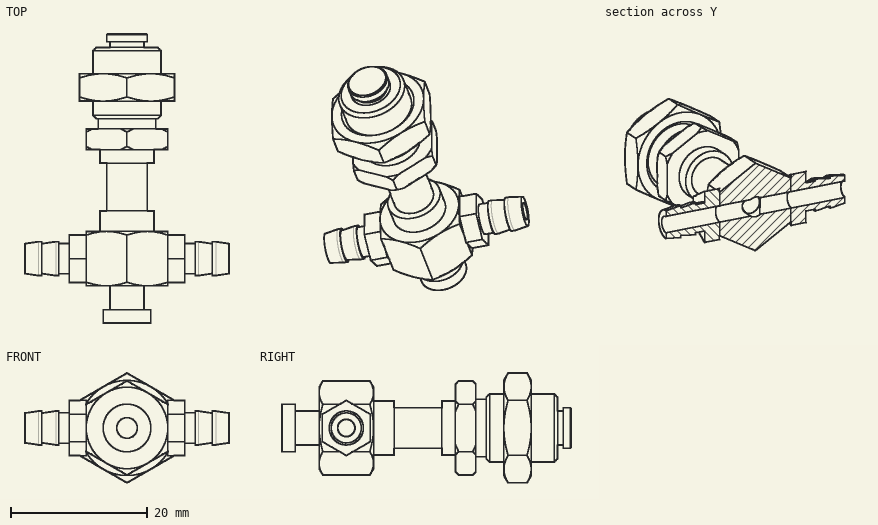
import cadquery as cq
import math

OVERALL_LENGTH = 42.5
OVERALL_WIDTH = 30.0

BLOCK_FLATS = 12.0
BLOCK_FRONT = 5.5
BLOCK_LENGTH = 8.0
BLOCK_REAR = BLOCK_FRONT + BLOCK_LENGTH
COLLAR_DIAMETER = 8.0
COLLAR_LENGTH = 3.0
COLLAR_REAR = BLOCK_REAR + COLLAR_LENGTH
NOZZLE_DIAMETER = 5.0
NOZZLE_FLANGE_DIAMETER = 7.0
NOZZLE_FLANGE_LENGTH = 2.0
NOZZLE_BORE_DIAMETER = 3.0
CROSS_AXIS_Y = BLOCK_FRONT + BLOCK_LENGTH / 2
CROSS_BORE_DIAMETER = 2.5
NOZZLE_BORE_DEPTH = CROSS_AXIS_Y + NOZZLE_BORE_DIAMETER / 2

FITTING_FLATS = 7.0
FITTING_HEX_LENGTH = 2.5
FITTING_LENGTH = (OVERALL_WIDTH - BLOCK_FLATS) / 2
BARB_RADIUS = 2.5
BARB_TIP_RADIUS = 2.2
SPIGOT_RADIUS = 2.25
BARB_CONE_LENGTH = 2.0
BARB_LAND_LENGTH = 0.5
BARB_COUNT = 2

SLEEVE_COLLAR_LENGTH = 2.0
SLEEVE_FRONT = 23.5
SLEEVE_REAR = 40.5
SLEEVE_HEX_FRONT = SLEEVE_FRONT + SLEEVE_COLLAR_LENGTH
SLEEVE_HEX_LENGTH = 3.0
SLEEVE_HEX_REAR = SLEEVE_HEX_FRONT + SLEEVE_HEX_LENGTH
SLEEVE_HEX_CHAMFER = 0.45
SLEEVE_HEX_CHAMFER_ANGLE = 45.0
SLEEVE_NECK_DIAMETER = 8.5
BARREL_FRONT = 30.0
BARREL_DIAMETER = 10.05
BARREL_CHAMFER = 0.5

NUT_FLATS = 14.0
NUT_FRONT = 32.6
NUT_LENGTH = 4.05
NUT_COUNTERSINK = 0.5

STEM_DIAMETER = 6.0
STEM_GROOVE_DIAMETER = 5.0
STEM_HEAD_LENGTH = 1.2
STEM_HEAD_CHAMFER = 0.15

HEX_CHAMFER_ANGLE = 30.0


def cylinder_y(diameter, start, end):
    """Round bar along Y from start to end."""
    return cq.Workplane("XZ", origin=(0, start, 0)).circle(diameter / 2).extrude(start - end)


def corner_radius(flats):
    return flats / math.sqrt(3)


def hex_y(flats, start, length, corner_cut, angle):
    """Hexagon along Y with flats at +X and -X, its corners turned down by a cone at both ends."""
    corner = corner_radius(flats)
    outline = [
        (corner * math.sin(math.radians(60 * i)), corner * math.cos(math.radians(60 * i)))
        for i in range(6)
    ]
    prism = cq.Workplane("XZ", origin=(0, start, 0)).polyline(outline).close().extrude(-length)
    face_radius = corner - corner_cut
    drop = corner_cut * math.tan(math.radians(angle))
    end = start + length
    envelope = (
        cq.Workplane("XY")
        .moveTo(0, start)
        .lineTo(face_radius, start)
        .lineTo(corner, start + drop)
        .lineTo(corner, end - drop)
        .lineTo(face_radius, end)
        .lineTo(0, end)
        .close()
        .revolve(360, (0, 0, 0), (0, 1, 0))
    )
    return prism.intersect(envelope)


def flat_tangent_cut(flats):
    """Corner cut that leaves an end face circle touching the flats."""
    return corner_radius(flats) - flats / 2


def make_block():
    block = hex_y(BLOCK_FLATS, BLOCK_FRONT, BLOCK_LENGTH, flat_tangent_cut(BLOCK_FLATS), HEX_CHAMFER_ANGLE)
    block = block.union(cylinder_y(COLLAR_DIAMETER, BLOCK_REAR, COLLAR_REAR))
    block = block.union(cylinder_y(NOZZLE_DIAMETER, 0, BLOCK_FRONT))
    block = block.union(cylinder_y(NOZZLE_FLANGE_DIAMETER, 0, NOZZLE_FLANGE_LENGTH))
    cross_bore = (
        cq.Workplane("YZ", origin=(-BLOCK_FLATS / 2, CROSS_AXIS_Y, 0))
        .circle(CROSS_BORE_DIAMETER / 2)
        .extrude(BLOCK_FLATS)
    )
    return block.cut(cylinder_y(NOZZLE_BORE_DIAMETER, 0, NOZZLE_BORE_DEPTH)).cut(cross_bore)


def make_fitting(side):
    """Hose fitting pointing along +X (side = 1) or -X (side = -1)."""
    base = BLOCK_FLATS / 2
    tip = base + FITTING_LENGTH
    hexagon = (
        cq.Workplane("YZ", origin=(base, 0, 0))
        .polygon(6, 2 * corner_radius(FITTING_FLATS))
        .extrude(FITTING_HEX_LENGTH)
        .rotate((0, 0, 0), (1, 0, 0), 90)
    )
    profile = cq.Workplane("XY").moveTo(base, 0).lineTo(tip, 0)
    barb_end = tip
    for _ in range(BARB_COUNT):
        profile = profile.lineTo(barb_end, BARB_TIP_RADIUS)
        profile = profile.lineTo(barb_end - BARB_CONE_LENGTH, BARB_RADIUS)
        barb_end -= BARB_CONE_LENGTH + BARB_LAND_LENGTH
        profile = profile.lineTo(barb_end, BARB_RADIUS)
    profile = profile.lineTo(barb_end, SPIGOT_RADIUS).lineTo(base, SPIGOT_RADIUS)
    spigot = profile.close().revolve(360, (0, 0, 0), (1, 0, 0))
    bore = cq.Workplane("YZ", origin=(base, 0, 0)).circle(CROSS_BORE_DIAMETER / 2).extrude(FITTING_LENGTH)
    fitting = hexagon.union(spigot).cut(bore)
    if side < 0:
        fitting = fitting.mirror("YZ")
    return fitting.translate((0, CROSS_AXIS_Y, 0))


def make_sleeve():
    barrel = cylinder_y(BARREL_DIAMETER, BARREL_FRONT, SLEEVE_REAR).faces("<Y or >Y").chamfer(BARREL_CHAMFER)
    sleeve = hex_y(
        BLOCK_FLATS, SLEEVE_HEX_FRONT, SLEEVE_HEX_LENGTH, SLEEVE_HEX_CHAMFER, SLEEVE_HEX_CHAMFER_ANGLE
    )
    sleeve = sleeve.union(cylinder_y(COLLAR_DIAMETER, SLEEVE_FRONT, SLEEVE_HEX_FRONT))
    sleeve = sleeve.union(cylinder_y(SLEEVE_NECK_DIAMETER, SLEEVE_HEX_REAR, BARREL_FRONT))
    sleeve = sleeve.union(barrel)
    return sleeve.cut(cylinder_y(STEM_DIAMETER, SLEEVE_FRONT, SLEEVE_REAR))


def make_nut():
    nut_rear = NUT_FRONT + NUT_LENGTH
    nut = hex_y(NUT_FLATS, NUT_FRONT, NUT_LENGTH, flat_tangent_cut(NUT_FLATS), HEX_CHAMFER_ANGLE)
    nut = nut.cut(cylinder_y(BARREL_DIAMETER, NUT_FRONT, nut_rear))
    return nut.edges(cq.selectors.RadiusNthSelector(0)).chamfer(NUT_COUNTERSINK)


def make_stem():
    head_front = OVERALL_LENGTH - STEM_HEAD_LENGTH
    head = cylinder_y(STEM_DIAMETER, head_front, OVERALL_LENGTH).faces(">Y").chamfer(STEM_HEAD_CHAMFER)
    stem = cylinder_y(STEM_DIAMETER, COLLAR_REAR, SLEEVE_REAR)
    stem = stem.union(cylinder_y(STEM_GROOVE_DIAMETER, SLEEVE_REAR, head_front))
    return stem.union(head)


block = make_block()
fittings = [make_fitting(side) for side in (-1, 1)]
sleeve = make_sleeve()
nut = make_nut()
stem = make_stem()

result = cq.Compound.makeCompound(
    [block.val(), *[fitting.val() for fitting in fittings], sleeve.val(), nut.val(), stem.val()]
)